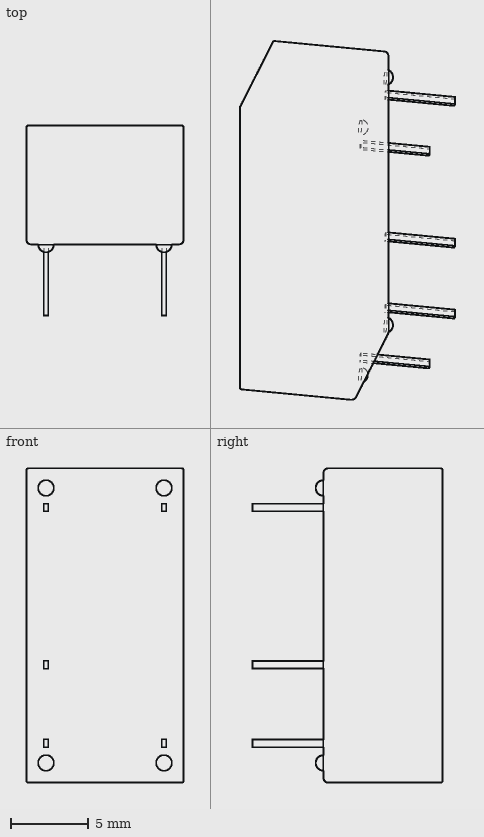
import cadquery as cq

case_width = 10.15
case_height = 20.32
overall_depth = 12.3
pin_length = 4.6
case_depth = overall_depth - pin_length
edge_radius = 0.15
terminal_face_radius = 0.3

pin_pitch = 2.55
column_x = 1.5 * pin_pitch
pin_row_z = 3 * pin_pitch
pin_width = 0.3
pin_height = 0.5
pin_places = [
    (-column_x, pin_row_z),
    (column_x, pin_row_z),
    (-column_x, -pin_pitch),
    (-column_x, -pin_row_z),
    (column_x, -pin_row_z),
]

standoff_radius = 0.5
standoff_z = 8.88
standoff_places = [(x, z) for x in (-column_x, column_x) for z in (-standoff_z, standoff_z)]


def make_case():
    """Block with its terminal face in the plane Y = 0 and all edges rounded."""
    block = cq.Workplane("XY").box(case_width, case_depth, case_height)
    block = block.translate((0, case_depth / 2, 0))
    block = block.edges("not <Y").fillet(edge_radius)
    return block.faces("<Y").edges().fillet(terminal_face_radius)


def make_pins():
    """Straight rectangular pins reaching from the terminal face toward -Y."""
    return cq.Workplane("XZ").pushPoints(pin_places).rect(pin_width, pin_height).extrude(pin_length)


def make_standoff(x, z):
    """Ball centred on the terminal face, so that half of it stands proud."""
    return cq.Workplane("XY").sphere(standoff_radius).translate((x, 0, z))


def make_converter():
    """Case with its pins and standoffs as one solid."""
    body = make_case().union(make_pins())
    for x, z in standoff_places:
        body = body.union(make_standoff(x, z))
    return body


converter = make_converter()
result = cq.Compound.makeCompound([converter.solids().val()])